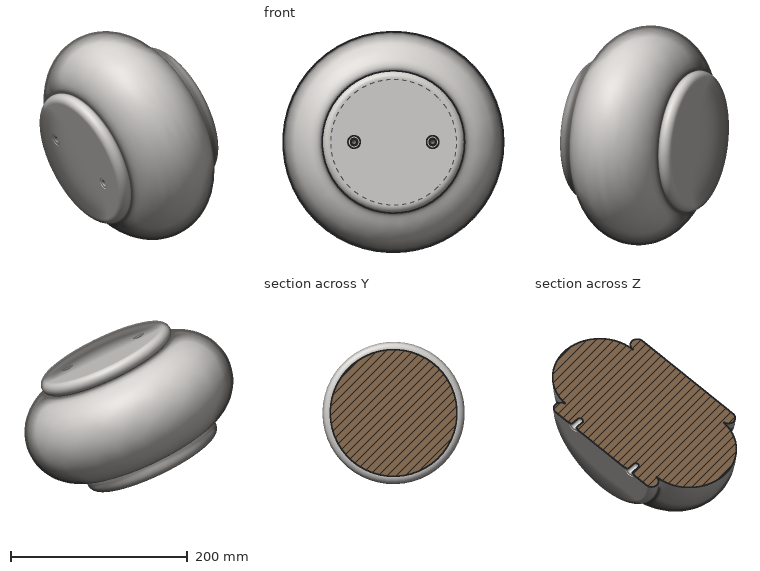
import cadquery as cq
import math

outer_diameter = 250.0
overall_width = 140.0
body_width = 107.5
plate_face_diameter = 145.0

hole_spacing = 89.0
hole_diameter = 6.8
hole_mouth_diameter = 8.0
hole_depth = 12.5
hole_tip_angle = 118.0
spotface_diameter = 14.0
spotface_depth = 0.8

body_radius = body_width / 2
body_flat_radius = outer_diameter / 2 - body_radius
plate_face_radius = plate_face_diameter / 2
half_width = overall_width / 2
rim_radius = (half_width - body_radius) / 2


def make_disc(flat_radius, bulge_radius, y_center):
    """Solid disc about the Y axis with a fully rounded edge."""
    y_low = y_center - bulge_radius
    y_high = y_center + bulge_radius
    return (
        cq.Workplane("XY")
        .moveTo(0, y_low)
        .lineTo(flat_radius, y_low)
        .threePointArc((flat_radius + bulge_radius, y_center), (flat_radius, y_high))
        .lineTo(0, y_high)
        .close()
        .revolve(360, (0, 0, 0), (0, 1, 0))
    )


def make_hole_cutter(x):
    """Drilled hole with a shallow spotface, a chamfered mouth and a conical bottom."""
    radius = hole_diameter / 2
    spotface_radius = spotface_diameter / 2
    mouth_radius = hole_mouth_diameter / 2
    chamfer = mouth_radius - radius
    tip_length = radius / math.tan(math.radians(hole_tip_angle / 2))
    return (
        cq.Workplane("XY")
        .polyline([
            (0, 0),
            (spotface_radius, 0),
            (spotface_radius, spotface_depth),
            (mouth_radius, spotface_depth),
            (radius, spotface_depth + chamfer),
            (radius, hole_depth),
            (0, hole_depth + tip_length),
        ])
        .close()
        .revolve(360, (0, 0, 0), (0, 1, 0))
        .translate((x, -half_width, 0))
    )


result = make_disc(body_flat_radius, body_radius, 0)

for side in (-1, 1):
    plate_y = side * (half_width - rim_radius)
    result = result.union(make_disc(plate_face_radius, rim_radius, plate_y))

for side in (-1, 1):
    result = result.cut(make_hole_cutter(side * hole_spacing / 2))